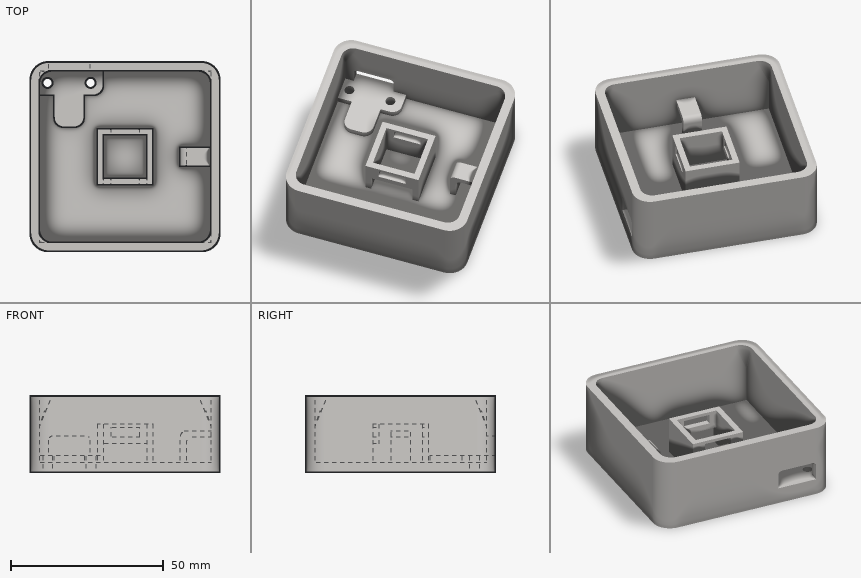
import cadquery as cq
import math

side = 62.0
height = 25.0
wall = 3.0
floor = 3.35
outer_radius = 6.0
inner_side = side - 2 * wall
inner_half = inner_side / 2

rim_radius = 4.0
corner_taper = 9.8

pad_top = 5.6
pad_center_x = -18.3
bar_right_x = -7.05
bar_front_y = 20.1
tab_width = 9.85
tab_front_y = 9.6
pad_radius = 3.15
screw_diameter = 3.2
screw_spacing = 14.1
screw_y = 24.1

opening_right_x = -11.5
opening_top = 11.95
opening_radius = 1.35

bracket_width = 6.25
bracket_thickness = 2.0
bracket_start_x = 18.0
bracket_top = 13.65
bracket_outer_radius = 2.0
bracket_inner_radius = 2.0

socket_side = 18.2
socket_wall = 2.0
socket_inner = socket_side - 2 * socket_wall
socket_top = 15.9
door_top = 9.5
window_width = 9.3
window_bottom = 11.6
window_top = 14.8


def block(x_min, x_max, y_min, y_max, z_min, z_max):
    """Box given by its limits along each axis."""
    return cq.Workplane("XY").box(
        x_max - x_min, y_max - y_min, z_max - z_min, centered=False
    ).translate((x_min, y_min, z_min))


def make_shell():
    outer = cq.Workplane("XY").box(side, side, height, centered=(True, True, False))
    outer = outer.edges("|Z").fillet(outer_radius)
    cavity = cq.Workplane("XY").workplane(offset=floor).rect(inner_side, inner_side).extrude(height)
    return outer.cut(cavity)


def make_corner_filling():
    """Corner filling in the +X, +Y corner: the rim outline drawn down to a point."""
    near = inner_half - rim_radius
    middle = near + rim_radius * math.sqrt(0.5)
    tip = cq.Vertex.makeVertex(inner_half, inner_half, height - corner_taper)
    rim_corner = cq.Vector(inner_half, inner_half, height)
    arc_start = cq.Vector(inner_half, near, height)
    arc_end = cq.Vector(near, inner_half, height)
    arc = cq.Edge.makeThreePointArc(arc_start, cq.Vector(middle, middle, height), arc_end)
    rim = cq.Wire.assembleEdges([
        arc,
        cq.Edge.makeLine(arc_end, rim_corner),
        cq.Edge.makeLine(rim_corner, arc_start),
    ])
    return cq.Workplane(cq.occ_impl.shapes.loft(rim, tip, cap=True, ruled=True))


def make_pad():
    bar = block(-inner_half, bar_right_x, bar_front_y, inner_half, floor, pad_top)
    bar = bar.edges("|Z and >X and <Y").fillet(pad_radius)
    tab = block(pad_center_x - tab_width / 2, pad_center_x + tab_width / 2,
                tab_front_y, inner_half, floor, pad_top)
    tab = tab.edges("|Z and <Y").fillet(pad_radius)
    return bar.union(tab)


def make_cable_opening():
    """Cutter for the cable opening, centered on the pad and rounded at the top."""
    opening_left_x = 2 * pad_center_x - opening_right_x
    opening = block(opening_left_x, opening_right_x, inner_half, side / 2, pad_top, opening_top)
    return opening.edges("|Y and >Z").fillet(opening_radius)


def make_bracket():
    leg_back_x = bracket_start_x + bracket_thickness
    arm_bottom = bracket_top - bracket_thickness
    profile = (
        cq.Workplane("XZ")
        .moveTo(bracket_start_x, floor)
        .lineTo(bracket_start_x, bracket_top - bracket_outer_radius)
        .radiusArc((bracket_start_x + bracket_outer_radius, bracket_top), bracket_outer_radius)
        .lineTo(inner_half, bracket_top)
        .lineTo(inner_half, arm_bottom)
        .lineTo(leg_back_x + bracket_inner_radius, arm_bottom)
        .radiusArc((leg_back_x, arm_bottom - bracket_inner_radius), -bracket_inner_radius)
        .lineTo(leg_back_x, floor)
        .close()
    )
    return profile.extrude(bracket_width / 2, both=True)


def make_housing():
    housing = make_shell()
    filling = make_corner_filling()
    for angle in (0, 90, 180, 270):
        housing = housing.union(filling.rotate((0, 0, 0), (0, 0, 1), angle))
    housing = housing.union(make_pad()).union(make_bracket())
    for offset in (-screw_spacing / 2, screw_spacing / 2):
        screw_hole = cq.Workplane("XY").center(pad_center_x + offset, screw_y)
        housing = housing.cut(screw_hole.circle(screw_diameter / 2).extrude(pad_top))
    return housing.cut(make_cable_opening())


def make_socket():
    half = socket_side / 2
    inner = socket_inner / 2
    window = window_width / 2
    socket = block(-half, half, -half, half, floor, socket_top)
    socket = socket.cut(block(-inner, inner, -inner, inner, floor, socket_top))
    socket = socket.cut(block(-inner, inner, -half, 0, floor, door_top))
    return socket.cut(block(-window, window, -half, half, window_bottom, window_top))


housing = make_housing()
socket = make_socket()
result = cq.Compound.makeCompound([housing.val(), socket.val()])